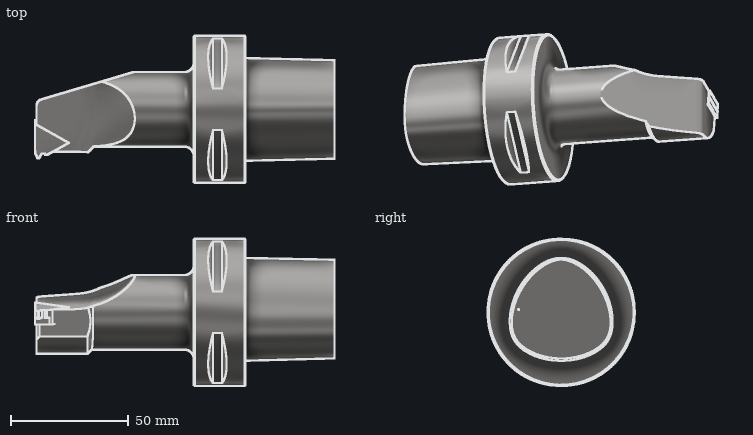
import cadquery as cq
import math

LENGTH = 128.0

NECK_RADIUS = 16.0
FLANGE_RADIUS = 31.5
FLANGE_START = 67.8
FLANGE_END = 90.0
FLANGE_CHAMFER = 0.5
ROOT_FILLET = 4.0

SLOT_COUNT = 4
SLOT_CENTRE = 78.0
SLOT_FLOOR_RADIUS = 27.6
SLOT_FLOOR_WIDTH = 3.7
SLOT_TOP_WIDTH = 8.0

TAPER_BASE_RADIUS = 22.0
TAPER_BASE_LOBE = 1.3
TAPER_TIP_RADIUS = 21.1
TAPER_TIP_LOBE = 1.4
TAPER_CURVE_POINTS = 48

NOSE_X = 0.6
HEAD_END = 24.8
HEAD_RADIUS = 18.0
HEAD_CENTRE_Y = -0.6
HEAD_CENTRE_Z = 0.3
HEAD_BACK_CHAMFER = 2.4
SIDE_START_Y = 3.7
SIDE_ANGLE = 16.5
SIDE_CORNER_RADIUS = 3.0

RAKE_TILT = 14.0
RAKE_HEIGHT = 5.8
FLANK_V = -18.7
NOSE_RELIEF = 0.6
NOSE_RELIEF_LENGTH = 1.3
SCOOP_CENTRE_X = -5.5
SCOOP_CENTRE_V = -1.5
SCOOP_FLAT_RADIUS = 26.6
SCOOP_FILLET = 27.5
SCOOP_WALL_ANGLE = 80.0
SCOOP_HEIGHT = 30.7

INSERT_TIP_X = 14.5
INSERT_TIP_V = -14.7
INSERT_THICKNESS = 6.5
INSERT_UPPER_THICKNESS = 3.5
INSERT_FRONT_STEP = 0.1
INSERT_LOWER_EDGE_V = -19.5
THREAD_ROOT_V = -19.5
THREAD_END_X = 5.9
THREAD_PROFILE = [
    (1.0, -21.5),
    (1.8, -21.5),
    (3.0, THREAD_ROOT_V),
    (4.1, THREAD_ROOT_V),
    (4.4, -20.1),
    (5.1, -20.1),
]
INSERT_EDGE_SLOPE = math.tan(math.radians(30))
INSERT_HALF_SIDE = INSERT_TIP_X * INSERT_EDGE_SLOPE

BIG = 2 * LENGTH


def rake_plane():
    """Local x is global X, local y runs across the rake face and local z is its normal."""
    tilt = math.radians(RAKE_TILT)
    normal = (0, -math.sin(tilt), math.cos(tilt))
    return cq.Plane(origin=(0, 0, RAKE_HEIGHT), xDir=(1, 0, 0), normal=normal)


def make_neck_and_flange():
    profile = (
        cq.Workplane("XY")
        .moveTo(NOSE_X, 0)
        .lineTo(NOSE_X, NECK_RADIUS)
        .lineTo(FLANGE_START - ROOT_FILLET, NECK_RADIUS)
        .radiusArc((FLANGE_START, NECK_RADIUS + ROOT_FILLET), -ROOT_FILLET)
        .lineTo(FLANGE_START, FLANGE_RADIUS - FLANGE_CHAMFER)
        .lineTo(FLANGE_START + FLANGE_CHAMFER, FLANGE_RADIUS)
        .lineTo(FLANGE_END - FLANGE_CHAMFER, FLANGE_RADIUS)
        .lineTo(FLANGE_END, FLANGE_RADIUS - FLANGE_CHAMFER)
        .lineTo(FLANGE_END, 0)
        .close()
    )
    return profile.revolve(360, (0, 0, 0), (1, 0, 0))


def make_gripper_slot(angle):
    """Straight slot with sloping walls, cut along a chord of the flange."""
    half_floor = SLOT_FLOOR_WIDTH / 2
    half_top = SLOT_TOP_WIDTH / 2
    return (
        cq.Workplane("XZ")
        .polyline([
            (SLOT_CENTRE - half_floor, SLOT_FLOOR_RADIUS),
            (SLOT_CENTRE + half_floor, SLOT_FLOOR_RADIUS),
            (SLOT_CENTRE + half_top, FLANGE_RADIUS),
            (SLOT_CENTRE - half_top, FLANGE_RADIUS),
        ])
        .close()
        .extrude(FLANGE_RADIUS, both=True)
        .rotate((0, 0, 0), (1, 0, 0), angle)
    )


def lobed_section(mean_radius, lobe):
    """Points of a constant-width curve with three lobes, one of them toward +Z."""
    points = []
    for i in range(TAPER_CURVE_POINTS):
        a = 2 * math.pi * i / TAPER_CURVE_POINTS
        support = mean_radius + lobe * math.cos(3 * a)
        slope = -3 * lobe * math.sin(3 * a)
        along_z = support * math.cos(a) - slope * math.sin(a)
        along_y = support * math.sin(a) + slope * math.cos(a)
        points.append((along_y, along_z))
    return points


def make_taper():
    return (
        cq.Workplane("YZ", origin=(FLANGE_END, 0, 0))
        .spline(lobed_section(TAPER_BASE_RADIUS, TAPER_BASE_LOBE), periodic=True)
        .close()
        .workplane(offset=LENGTH - FLANGE_END)
        .spline(lobed_section(TAPER_TIP_RADIUS, TAPER_TIP_LOBE), periodic=True)
        .close()
        .loft(ruled=True)
    )


def make_head_blank():
    return (
        cq.Workplane("YZ", origin=(NOSE_X, 0, 0))
        .center(HEAD_CENTRE_Y, HEAD_CENTRE_Z)
        .circle(HEAD_RADIUS)
        .extrude(HEAD_END - NOSE_X)
        .faces(">X")
        .chamfer(HEAD_BACK_CHAMFER)
    )


def make_side_cut():
    """Everything beyond the slanted +Y side, with its rounded nose corner."""
    cut_end = FLANGE_START - ROOT_FILLET
    slope = math.tan(math.radians(SIDE_ANGLE))
    kept = (
        cq.Workplane("XY", origin=(0, 0, -BIG / 2))
        .polyline([
            (NOSE_X, -BIG),
            (cut_end, -BIG),
            (cut_end, SIDE_START_Y + slope * (cut_end - NOSE_X)),
            (NOSE_X, SIDE_START_Y),
        ])
        .close()
        .extrude(BIG)
    )
    kept = kept.edges("|Z").edges("<X").edges(">Y").fillet(SIDE_CORNER_RADIUS)
    block = cq.Workplane("XY").box(cut_end, BIG, BIG, centered=(False, True, True))
    return block.cut(kept)


def make_flank_cut():
    """Material beyond the front flank, stepped deeper beside the nose."""
    step_end = NOSE_X + NOSE_RELIEF_LENGTH
    return (
        cq.Workplane(rake_plane())
        .polyline([
            (0, FLANK_V + NOSE_RELIEF),
            (NOSE_X, FLANK_V + NOSE_RELIEF),
            (step_end, FLANK_V),
            (HEAD_END, FLANK_V),
            (HEAD_END, -BIG),
            (0, -BIG),
        ])
        .close()
        .extrude(BIG, both=True)
    )


def make_scoop():
    """Flat disc with a concave rim revolved about the rake normal."""
    wall = math.radians(SCOOP_WALL_ANGLE)
    arc_end_r = SCOOP_FLAT_RADIUS + SCOOP_FILLET * math.sin(wall)
    arc_end_h = SCOOP_FILLET * (1 - math.cos(wall))
    rake = rake_plane()
    section_plane = cq.Plane(
        origin=rake.toWorldCoords((SCOOP_CENTRE_X, SCOOP_CENTRE_V, 0)),
        xDir=(1, 0, 0),
        normal=rake.yDir * -1,
    )
    return (
        cq.Workplane(section_plane)
        .moveTo(0, 0)
        .lineTo(SCOOP_FLAT_RADIUS, 0)
        .radiusArc((arc_end_r, arc_end_h), -SCOOP_FILLET)
        .lineTo(arc_end_r, SCOOP_HEIGHT)
        .lineTo(0, SCOOP_HEIGHT)
        .close()
        .revolve(360, (0, 0, 0), (0, 1, 0))
    )


def insert_triangle(depth):
    """Full equilateral prism below the rake face."""
    return (
        cq.Workplane(rake_plane())
        .polyline([
            (0, INSERT_TIP_V + INSERT_HALF_SIDE),
            (0, INSERT_TIP_V - INSERT_HALF_SIDE),
            (INSERT_TIP_X, INSERT_TIP_V),
        ])
        .close()
        .extrude(-depth)
    )


def make_insert():
    """Upper layer carries the thread profile; the lower layer is trimmed straight."""
    front_corner_v = INSERT_TIP_V + INSERT_EDGE_SLOPE * (INSERT_TIP_X - INSERT_FRONT_STEP)
    thread_end_v = INSERT_TIP_V - INSERT_EDGE_SLOPE * (INSERT_TIP_X - THREAD_END_X)
    upper = (
        cq.Workplane(rake_plane())
        .polyline([
            (INSERT_FRONT_STEP, front_corner_v),
            (INSERT_FRONT_STEP, THREAD_ROOT_V),
            *THREAD_PROFILE,
            (THREAD_END_X, thread_end_v),
            (INSERT_TIP_X, INSERT_TIP_V),
        ])
        .close()
        .extrude(-INSERT_UPPER_THICKNESS)
    )
    below_upper = cq.Workplane(rake_plane()).workplane(offset=-INSERT_UPPER_THICKNESS)
    lower_range = (
        below_upper
        .center(0, INSERT_LOWER_EDGE_V)
        .rect(BIG, BIG, centered=False)
        .extrude(INSERT_UPPER_THICKNESS - INSERT_THICKNESS)
    )
    lower = insert_triangle(INSERT_THICKNESS).intersect(lower_range)
    return upper.union(lower)


def make_holder():
    head_and_neck = make_neck_and_flange().union(make_head_blank())
    holder = head_and_neck.cut(make_side_cut()).cut(make_flank_cut()).cut(make_scoop())
    holder = holder.union(make_taper())
    for i in range(SLOT_COUNT):
        holder = holder.cut(make_gripper_slot((i + 0.5) * 360 / SLOT_COUNT))
    return holder.cut(insert_triangle(INSERT_THICKNESS))


holder = make_holder()
insert = make_insert()
result = cq.Compound.makeCompound([holder.val(), insert.val()])